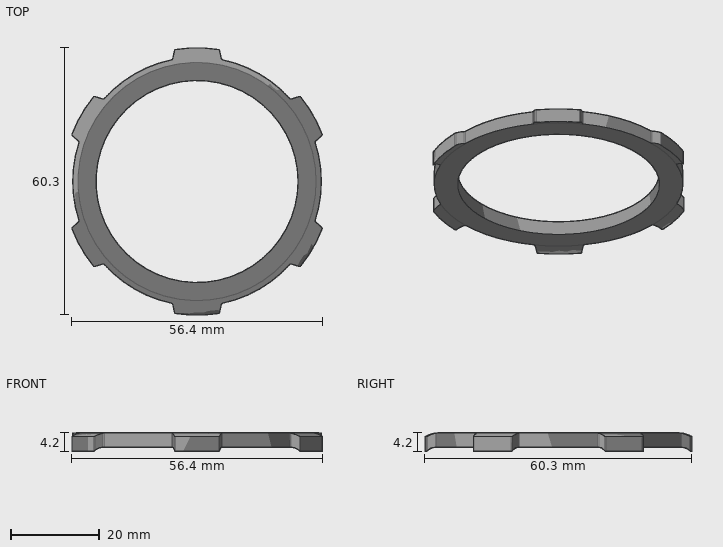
import cadquery as cq
import math

bore_radius = 45.5 / 2
flat_radius = 26.85
ring_radius = 28.05
tab_radius = 30.15
height = 4.2
tab_drop = 0.9
thickness = height - tab_drop
tab_count = 6
tab_root_half_width = 5.4
tab_tip_half_width = 4.95
corner_radius = 0.3


def arc_midpoint(start_radius, start_height):
    """Middle of the arc that leaves a flat tangentially and falls by tab_drop at the tips."""
    run = tab_radius - start_radius
    arc_radius = (run**2 + tab_drop**2) / (2 * tab_drop)
    fall = arc_radius - math.sqrt(arc_radius**2 - (run / 2) ** 2)
    return (start_radius + run / 2, start_height - fall)


def make_dished_disc():
    """Annulus with flat faces whose rim curves downwards, first on top, then underneath."""
    return (
        cq.Workplane("XZ")
        .moveTo(bore_radius, tab_drop)
        .lineTo(ring_radius, tab_drop)
        .threePointArc(arc_midpoint(ring_radius, tab_drop), (tab_radius, 0))
        .lineTo(tab_radius, thickness)
        .threePointArc(arc_midpoint(flat_radius, height), (flat_radius, height))
        .lineTo(bore_radius, height)
        .close()
        .revolve(360, (0, 0, 0), (0, 1, 0))
    )


def make_tab_wedge():
    """Tapered block for the tab on +Y, reaching past the tip circle."""
    taper = (tab_root_half_width - tab_tip_half_width) / (tab_radius - ring_radius)
    outer_reach = tab_radius + height
    outer_half_width = tab_root_half_width - taper * (outer_reach - ring_radius)
    inner_half_width = tab_root_half_width + taper * (ring_radius - bore_radius)
    return (
        cq.Workplane("XY")
        .polyline([
            (-inner_half_width, bore_radius),
            (inner_half_width, bore_radius),
            (outer_half_width, outer_reach),
            (-outer_half_width, outer_reach),
        ])
        .close()
        .extrude(height)
    )


def make_outline():
    """Plan outline with tabs, rounded at the tab roots and tips."""
    outline = cq.Workplane("XY").circle(ring_radius).extrude(height)
    for index in range(tab_count):
        angle = index * 360 / tab_count
        outline = outline.union(make_tab_wedge().rotate((0, 0, 0), (0, 0, 1), angle))
    tip_disc = cq.Workplane("XY").circle(tab_radius).extrude(height)
    return outline.intersect(tip_disc).clean().edges("|Z").fillet(corner_radius)


result = make_dished_disc().intersect(make_outline())